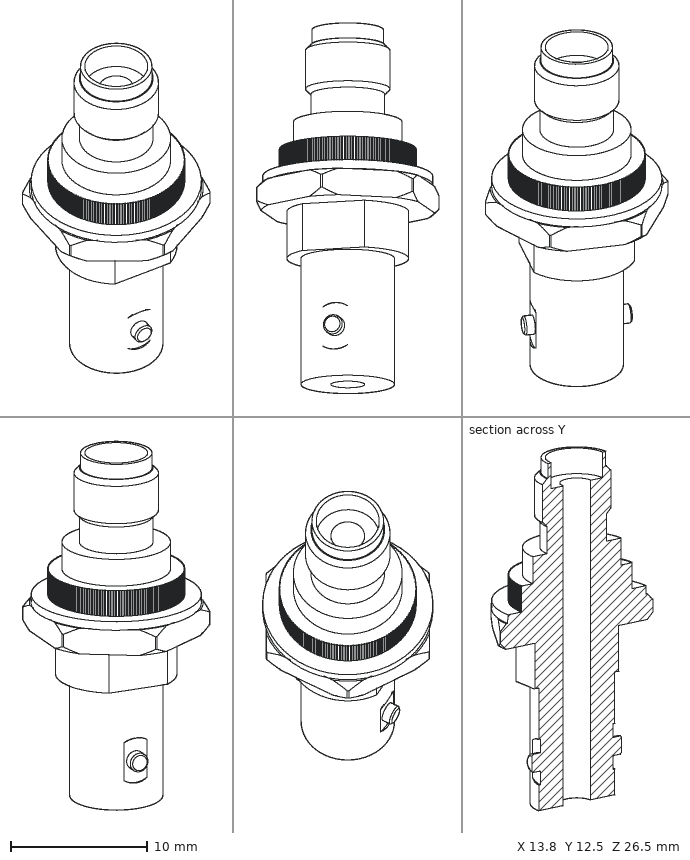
import cadquery as cq
import math

barrel_top = 9.41
nut_bottom = 12.92
washer_bottom = 14.9
knurl_bottom = 15.57
knurl_top = 17.55
shoulder_top = 19.62
collar_bottom = 21.7
collar_top = 25.38
total_height = 26.52

barrel_diameter = 6.87
thread_diameter = 8.95
washer_diameter = 12.5
knurl_diameter = 10.05
shoulder_diameter = 7.98
neck_diameter = 5.4
collar_diameter = 6.2
rim_diameter = 5.25
collar_chamfer = 0.4

bore_diameter = 2.47
socket_diameter = 4.61
socket_depth = 1.95

thread_flat_distance = 7.58

nut_across_flats = 12.0
nut_corner_diameter = 13.76
nut_chamfer = 0.5

groove_count = 156
groove_width_share = 0.34
groove_depth = 0.04
groove_pitch = math.pi * knurl_diameter / groove_count
groove_width = groove_width_share * groove_pitch

pin_height = 3.75
pin_diameter = 1.43
pin_span = 8.12
pin_chamfer = 0.13
spot_face_diameter = 3.47
spot_face_distance = 6.6


def cylinder(diameter, bottom, top):
    """Upright cylinder on the connector axis between two heights."""
    return cq.Workplane("XY").workplane(offset=bottom).circle(diameter / 2).extrude(top - bottom)


def flatted_thread():
    """Threaded section with two parallel flats facing -X and +X."""
    height = nut_bottom - barrel_top
    flats = (
        cq.Workplane("XY")
        .workplane(offset=barrel_top)
        .rect(thread_flat_distance, thread_diameter)
        .extrude(height)
    )
    return cylinder(thread_diameter, barrel_top, nut_bottom).intersect(flats)


def hex_nut():
    """Hexagonal nut with corners on the X axis and turned chamfers on both faces."""
    across_corners = nut_across_flats / math.cos(math.pi / 6)
    hexagon = (
        cq.Workplane("XY")
        .workplane(offset=nut_bottom)
        .polygon(6, across_corners)
        .extrude(washer_bottom - nut_bottom)
    )
    blank = cylinder(nut_corner_diameter, nut_bottom, washer_bottom)
    turned_blank = blank.edges("%CIRCLE").chamfer(nut_chamfer)
    return hexagon.intersect(turned_blank)


def knurled_ring():
    """Ring with narrow square grooves running along its full height."""
    ring = cylinder(knurl_diameter, knurl_bottom, knurl_top)
    grooves = (
        cq.Workplane("XY")
        .workplane(offset=knurl_bottom)
        .polarArray(knurl_diameter / 2, 0, 360, groove_count)
        .rect(2 * groove_depth, groove_width)
        .extrude(knurl_top - knurl_bottom)
    )
    return ring.cut(grooves)


def collar():
    """Collar below the rim, chamfered at both ends."""
    blank = cylinder(collar_diameter, collar_bottom, collar_top)
    return blank.edges("%CIRCLE").chamfer(collar_chamfer)


def spot_faced_barrel():
    """Lower barrel with a shallow round flat on each side where a pin stands."""
    barrel = cylinder(barrel_diameter, 0, barrel_top)
    outside_flats = (
        cq.Workplane("YZ")
        .center(0, pin_height)
        .circle(spot_face_diameter / 2)
        .extrude(barrel_diameter / 2, both=True)
        .cut(cq.Workplane("XY").box(spot_face_distance, barrel_diameter, 2 * barrel_top))
    )
    return barrel.cut(outside_flats)


def bayonet_pins():
    """Two opposite pins made as one chamfered rod across the barrel."""
    return (
        cq.Workplane("YZ")
        .center(0, pin_height)
        .circle(pin_diameter / 2)
        .extrude(pin_span / 2, both=True)
        .faces("<X or >X")
        .chamfer(pin_chamfer)
    )


body = (
    spot_faced_barrel()
    .union(bayonet_pins())
    .union(flatted_thread())
    .union(hex_nut())
    .union(cylinder(washer_diameter, washer_bottom, knurl_bottom))
    .union(knurled_ring())
    .union(cylinder(shoulder_diameter, knurl_top, shoulder_top))
    .union(cylinder(neck_diameter, shoulder_top, collar_bottom))
    .union(collar())
    .union(cylinder(rim_diameter, collar_top, total_height))
)

through_bore = cylinder(bore_diameter, 0, total_height)
socket = cylinder(socket_diameter, total_height - socket_depth, total_height)

result = body.cut(through_bore).cut(socket)